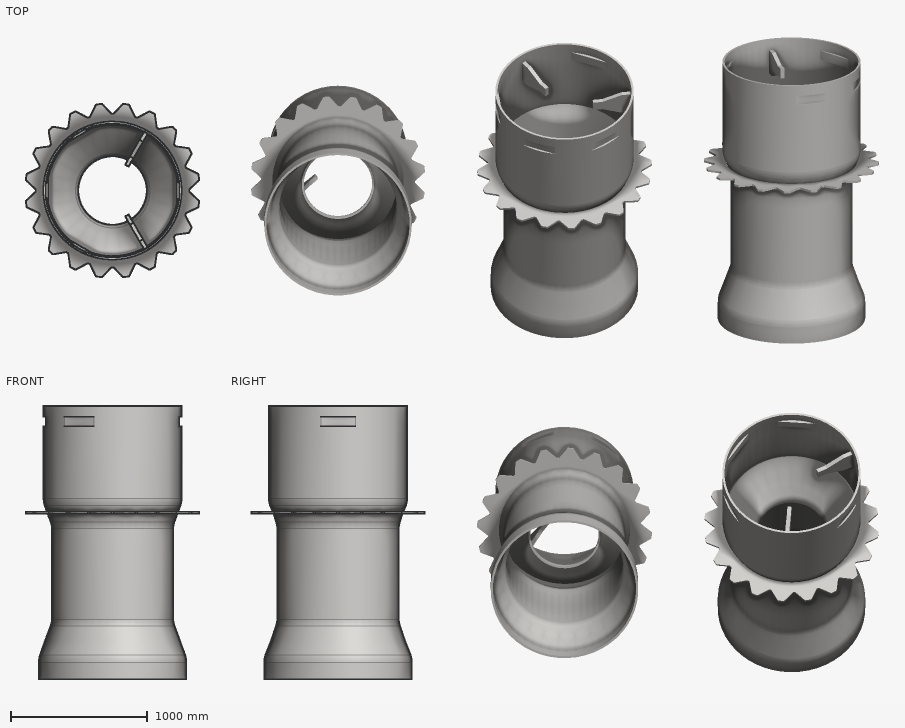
import cadquery as cq
import math

TOTAL_HEIGHT = 2000.0
TUBE_WALL = 16.0
UPPER_RADIUS = 1012.0 / 2
MIDDLE_RADIUS = 890.0 / 2
LOWER_RADIUS = 1080.0 / 2
TAPER_ANGLE = 20.0
BEND_RADIUS = 145.0
LOWER_TAPER_START = 153.0
UPPER_TAPER_END = 1297.0
UPPER_BORE_RADIUS = UPPER_RADIUS - TUBE_WALL

FLAT_OUTER_FACE = 490.0
FLAT_INNER_FACE = 470.0
FLAT_BOTTOM = 1850.0
FLAT_HEIGHT = 70.0
FLAT_ANGLES = (0, 120, 180, 240)

TOOTH_COUNT = 20
TOOTH_TIP_RADIUS = 639.85
TOOTH_ROOT_RADIUS = 563.0
TIP_LAND_ANGLE = 4.0
TIP_CORNER_FILLET = 10.0
ROOT_LAND_ANGLE = 1.6
RING_BORE_RADIUS = 960.0 / 2
RING_THICKNESS = 16.0

FUNNEL_WALL = 15.0
CONE_ANGLE = 45.0
THROAT_RADIUS = 500.0 / 2
FUNNEL_RIM_HEIGHT = 1400.0
THROAT_LENGTH = 50.0
THROAT_BEND_RADIUS = 75.0

BLADE_ANGLES = (60, -60)
BLADE_THICKNESS = 30.0
BLADE_TIP_RADIUS = 210.0
BLADE_TIP_TOP = 1870.0
BLADE_TIP_BOTTOM = 1795.0
BLADE_ROOT_TOP = 1920.0
BLADE_ROOT_BOTTOM = 1740.0
BLADE_FLARE_START = 280.0
BLADE_FLARE_END = 420.0


def polar(radius, degrees):
    angle = math.radians(degrees)
    return (radius * math.cos(angle), radius * math.sin(angle))


def step_towards(start, target, distance):
    """Point at the given distance from start on the way to target."""
    share = distance / math.dist(start, target)
    return tuple(a + (b - a) * share for a, b in zip(start, target))


def draw_bent_line(sketch, points, bend_radii):
    """Line from the first point to the last, with a tangent arc at each corner."""
    for before, corner, after, radius in zip(points, points[1:], points[2:], bend_radii):
        to_before = math.atan2(before[1] - corner[1], before[0] - corner[0])
        to_after = math.atan2(after[1] - corner[1], after[0] - corner[0])
        half_angle = math.acos(math.cos(to_after - to_before)) / 2
        setback = radius / math.tan(half_angle)
        arc_start = step_towards(corner, before, setback)
        arc_end = step_towards(corner, after, setback)
        chord_middle = step_towards(arc_start, arc_end, math.dist(arc_start, arc_end) / 2)
        arc_height = radius / math.sin(half_angle) - radius
        arc_middle = step_towards(corner, chord_middle, arc_height)
        sketch = sketch.lineTo(*arc_start).threePointArc(arc_middle, arc_end)
    return sketch.lineTo(*points[-1])


def make_tube_shell():
    slope = math.tan(math.radians(TAPER_ANGLE))
    lower_taper_end = LOWER_TAPER_START + (LOWER_RADIUS - MIDDLE_RADIUS) / slope
    upper_taper_start = UPPER_TAPER_END - (UPPER_RADIUS - MIDDLE_RADIUS) / slope
    mitre = TUBE_WALL * math.tan(math.radians(TAPER_ANGLE / 2))

    outer = [
        (LOWER_RADIUS, 0),
        (LOWER_RADIUS, LOWER_TAPER_START),
        (MIDDLE_RADIUS, lower_taper_end),
        (MIDDLE_RADIUS, upper_taper_start),
        (UPPER_RADIUS, UPPER_TAPER_END),
        (UPPER_RADIUS, TOTAL_HEIGHT),
    ]
    mitre_shifts = (0, -mitre, -mitre, mitre, mitre, 0)
    inner = [(r - TUBE_WALL, z + shift) for (r, z), shift in zip(outer, mitre_shifts)]

    wide = BEND_RADIUS + TUBE_WALL / 2
    tight = BEND_RADIUS - TUBE_WALL / 2
    profile = cq.Workplane("XZ").moveTo(*outer[0])
    profile = draw_bent_line(profile, outer, (wide, tight, tight, wide))
    profile = profile.lineTo(*inner[-1])
    profile = draw_bent_line(profile, inner[::-1], (tight, wide, wide, tight))
    return profile.close().revolve(360, (0, 0, 0), (0, 1, 0))


def flat_block(inner_face, outer_face):
    """Block at the height of the flats, across the whole tube, between two faces along X."""
    return cq.Workplane("XY", origin=(inner_face, 0, FLAT_BOTTOM)).box(
        outer_face - inner_face, 2 * UPPER_RADIUS, FLAT_HEIGHT, centered=(False, True, False))


def make_tube():
    tube = make_tube_shell()
    bore = cq.Workplane("XY").circle(UPPER_BORE_RADIUS).extrude(TOTAL_HEIGHT)
    recess = flat_block(FLAT_OUTER_FACE, UPPER_RADIUS)
    pressed_wall = flat_block(FLAT_INNER_FACE, FLAT_OUTER_FACE).intersect(bore)
    for angle in FLAT_ANGLES:
        tube = tube.union(pressed_wall.rotate((0, 0, 0), (0, 0, 1), angle))
        tube = tube.cut(recess.rotate((0, 0, 0), (0, 0, 1), angle))
    return tube


def make_toothed_ring():
    pitch = 360.0 / TOOTH_COUNT
    half_tip = TIP_LAND_ANGLE / 2
    half_root = ROOT_LAND_ANGLE / 2
    outline = cq.Workplane("XY").moveTo(*polar(TOOTH_ROOT_RADIUS, -half_root))
    for tooth in range(TOOTH_COUNT):
        root = tooth * pitch
        tip = root + pitch / 2
        outline = outline.threePointArc(
            polar(TOOTH_ROOT_RADIUS, root), polar(TOOTH_ROOT_RADIUS, root + half_root))
        outline = outline.lineTo(*polar(TOOTH_TIP_RADIUS, tip - half_tip))
        outline = outline.threePointArc(
            polar(TOOTH_TIP_RADIUS, tip), polar(TOOTH_TIP_RADIUS, tip + half_tip))
        outline = outline.lineTo(*polar(TOOTH_ROOT_RADIUS, root + pitch - half_root))
    blank = outline.close().extrude(RING_THICKNESS)
    flank_middle = (TOOTH_TIP_RADIUS + TOOTH_ROOT_RADIUS) / 2
    tip_corners = blank.edges("|Z").filter(
        lambda edge: math.hypot(edge.Center().x, edge.Center().y) > flank_middle)
    blank = tip_corners.fillet(TIP_CORNER_FILLET)
    bore = cq.Workplane("XY").circle(RING_BORE_RADIUS).extrude(RING_THICKNESS)
    slope = math.tan(math.radians(TAPER_ANGLE))
    ring_top = UPPER_TAPER_END - (UPPER_RADIUS - RING_BORE_RADIUS) / slope
    return blank.cut(bore).translate((0, 0, ring_top - RING_THICKNESS))


def make_funnel():
    cone_angle = math.radians(CONE_ANGLE)
    rim_radius = UPPER_BORE_RADIUS - FUNNEL_WALL * math.cos(cone_angle)
    rim_drop = FUNNEL_WALL * math.sin(cone_angle)
    cone_depth = (rim_radius - THROAT_RADIUS) / math.tan(cone_angle)
    throat_top = FUNNEL_RIM_HEIGHT - cone_depth
    throat_bottom = throat_top - THROAT_LENGTH
    mitre = FUNNEL_WALL * math.tan(cone_angle / 2)
    outer_throat = THROAT_RADIUS + FUNNEL_WALL

    inner = [
        (rim_radius, FUNNEL_RIM_HEIGHT),
        (THROAT_RADIUS, throat_top),
        (THROAT_RADIUS, throat_bottom),
    ]
    outer = [
        (outer_throat, throat_bottom),
        (outer_throat, throat_top - mitre),
        (UPPER_BORE_RADIUS, FUNNEL_RIM_HEIGHT - rim_drop),
    ]
    profile = cq.Workplane("XZ").moveTo(*inner[0])
    profile = draw_bent_line(profile, inner, (THROAT_BEND_RADIUS,))
    profile = profile.lineTo(*outer[0])
    profile = draw_bent_line(profile, outer, (THROAT_BEND_RADIUS - FUNNEL_WALL,))
    return profile.close().revolve(360, (0, 0, 0), (0, 1, 0))


def make_blade(angle):
    blade = (
        cq.Workplane("XZ")
        .moveTo(BLADE_TIP_RADIUS, BLADE_TIP_BOTTOM)
        .lineTo(BLADE_FLARE_START, BLADE_TIP_BOTTOM)
        .lineTo(BLADE_FLARE_END, BLADE_ROOT_BOTTOM)
        .lineTo(UPPER_RADIUS, BLADE_ROOT_BOTTOM)
        .lineTo(UPPER_RADIUS, BLADE_ROOT_TOP)
        .lineTo(BLADE_FLARE_END, BLADE_ROOT_TOP)
        .lineTo(BLADE_FLARE_START, BLADE_TIP_TOP)
        .lineTo(BLADE_TIP_RADIUS, BLADE_TIP_TOP)
        .close()
        .extrude(BLADE_THICKNESS / 2, both=True)
    )
    bore = cq.Workplane("XY").circle(UPPER_BORE_RADIUS).extrude(TOTAL_HEIGHT)
    return blade.intersect(bore).rotate((0, 0, 0), (0, 0, 1), angle)


tube = make_tube()
toothed_ring = make_toothed_ring()
funnel = make_funnel()
blades = [make_blade(angle) for angle in BLADE_ANGLES]

result = cq.Compound.makeCompound(
    [tube.val(), toothed_ring.val(), funnel.val(), *[blade.val() for blade in blades]]
)